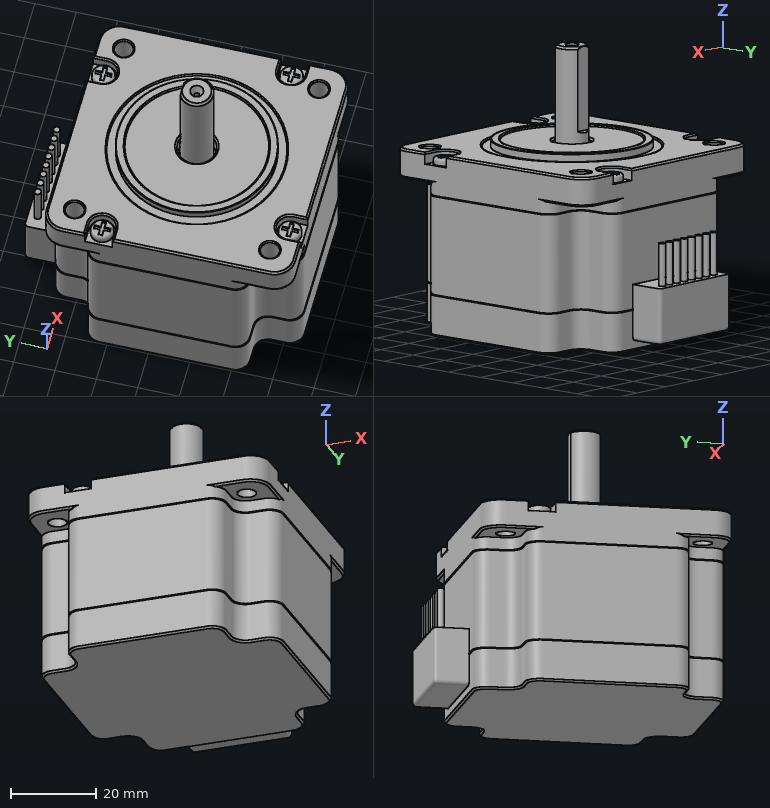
import cadquery as cq
import math


width = 60.0
half_width = width / 2
flange_top = 43.5
flange_thickness = 7.0
flange_corner_radius = 5.0
edge_chamfer = 0.5
chamfer_angle = 45
notch_size = 10.5
notch_radius = 3.5
joint_heights = (9.85, 33.5)
joint_width = 0.2
joint_depth = 0.1

mount_hole_offset = 23.55
mount_hole_radius = 2.25
mount_hole_chamfer = 0.35

pilot_radius = 19.05
pilot_height = 1.5
pilot_top = flange_top + pilot_height
pilot_chamfer = 0.15
flange_recess_radius = 21.45
pilot_recess_radius = 17.2
recess_depth = 0.35
bore_radius = 4.65
bore_chamfer = 0.5
bore_depth = 4.0

shaft_radius = 4.0
shaft_top = 67.5
shaft_chamfer = 0.55
flat_distance = 3.5
flat_bottom = 47.3
flat_runout = shaft_radius - flat_distance
center_hole_radius = 1.6
center_drill_radius = 0.6
center_cone_half_angle = 30
center_drill_length = 1.4
drill_point_half_angle = 59

screw_inset = 3.4
screw_offset = -16.2
pocket_radius = 3.3
pocket_depth = 2.75
pocket_chamfer = 0.4
screw_head_radius = 2.75
screw_head_height = 1.8
screw_head_round = 0.75
cross_length = 3.85
cross_width = 0.9
cross_depth = 0.5

connector_width = 25.1
connector_reach = 8.5
connector_bottom = 2.4
connector_top = 15.9
connector_round = 0.95
pin_count = 8
pin_pitch = 2.6
pin_radius = 0.8
pin_inset = 2.4
pin_top = 26.0


def cone_cut(radius, depth, top):
    """Frustum with chamfer-angle sides that narrows downwards from the height `top`."""
    return cq.Workplane("XY").workplane(offset=top).circle(radius).extrude(-depth, taper=chamfer_angle)


def disc(radius, bottom, top):
    return cq.Workplane("XY").workplane(offset=bottom).circle(radius).extrude(top - bottom)


def body_prism(bottom, top, inset=0):
    """Square prism with a rounded notch in each corner, its walls moved inwards by `inset`."""
    side = width - 2 * inset
    base = cq.Workplane("XY").workplane(offset=bottom)
    notches = (
        base.rect(side - notch_size, side - notch_size, forConstruction=True)
        .vertices()
        .rect(notch_size, notch_size)
        .extrude(top - bottom)
    )
    return base.rect(side, side).extrude(top - bottom).cut(notches).edges("|Z").fillet(notch_radius)


def joint_groove(height):
    """Thin ring that marks the joint between two housing sections."""
    bottom = height - joint_width / 2
    top = height + joint_width / 2
    return body_prism(bottom, top).cut(body_prism(bottom, top, joint_depth))


def make_housing():
    body = body_prism(0, flange_top - edge_chamfer).faces("<Z").chamfer(edge_chamfer)
    flange = (
        cq.Workplane("XY")
        .workplane(offset=flange_top - flange_thickness)
        .rect(width, width)
        .extrude(flange_thickness)
        .edges("|Z")
        .fillet(flange_corner_radius)
        .faces("<Z or >Z")
        .chamfer(edge_chamfer)
    )
    return body.union(flange)


def mounting_holes():
    hole = disc(mount_hole_radius, 0, flange_top).union(
        cone_cut(mount_hole_radius + mount_hole_chamfer, mount_hole_chamfer, flange_top)
    )
    holes = cq.Workplane("XY")
    for x in (-mount_hole_offset, mount_hole_offset):
        for y in (-mount_hole_offset, mount_hole_offset):
            holes = holes.add(hole.translate((x, y, 0)))
    return holes.combine()


def add_pilot(motor):
    motor = motor.cut(cone_cut(flange_recess_radius, recess_depth, flange_top))
    pilot = disc(pilot_radius, flange_top - recess_depth, pilot_top).faces(">Z").chamfer(pilot_chamfer)
    motor = motor.union(pilot)
    pilot_floor = pilot_top - recess_depth
    return (
        motor.cut(cone_cut(pilot_recess_radius, recess_depth, pilot_top))
        .cut(disc(bore_radius, pilot_floor - bore_depth, pilot_floor))
        .cut(cone_cut(bore_radius + bore_chamfer, bore_chamfer, pilot_floor))
    )


def make_shaft():
    bottom = pilot_top - recess_depth - bore_depth
    shaft = disc(shaft_radius, bottom, shaft_top).faces(">Z").chamfer(shaft_chamfer)
    flat_cut = (
        cq.Workplane("YZ")
        .moveTo(flat_distance, shaft_top)
        .lineTo(flat_distance, flat_bottom)
        .lineTo(shaft_radius, flat_bottom - flat_runout)
        .lineTo(shaft_radius, shaft_top)
        .close()
        .extrude(shaft_radius, both=True)
    )
    cone_depth = (center_hole_radius - center_drill_radius) / math.tan(math.radians(center_cone_half_angle))
    point_depth = center_drill_radius / math.tan(math.radians(drill_point_half_angle))
    drill_bottom = shaft_top - cone_depth - center_drill_length
    center_hole = (
        cq.Workplane("XZ")
        .moveTo(0, shaft_top)
        .lineTo(center_hole_radius, shaft_top)
        .lineTo(center_drill_radius, shaft_top - cone_depth)
        .lineTo(center_drill_radius, drill_bottom)
        .lineTo(0, drill_bottom - point_depth)
        .close()
        .revolve()
    )
    return shaft.cut(flat_cut).cut(center_hole)


def pocket_outline(radius):
    """Screw pocket outline at the flange top: round inside, open through the +X side."""
    center = half_width - screw_inset
    outside = half_width + 2 * screw_inset
    return (
        cq.Workplane("XY")
        .workplane(offset=flange_top)
        .moveTo(outside, screw_offset + radius)
        .lineTo(center, screw_offset + radius)
        .threePointArc((center - radius, screw_offset), (center, screw_offset - radius))
        .lineTo(outside, screw_offset - radius)
        .close()
    )


def screw_pocket():
    rim = pocket_outline(pocket_radius + pocket_chamfer).extrude(-pocket_chamfer, taper=chamfer_angle)
    return pocket_outline(pocket_radius).extrude(-pocket_depth).union(rim)


def screw_head():
    floor = flange_top - pocket_depth
    top = floor + screw_head_height
    head = disc(screw_head_radius, floor, top).faces(">Z").edges().fillet(screw_head_round)
    for length, breadth in ((cross_length, cross_width), (cross_width, cross_length)):
        head = head.cut(cq.Workplane("XY").workplane(offset=top).rect(length, breadth).extrude(-cross_depth))
    return head.translate((half_width - screw_inset, screw_offset, 0))


def add_screws(motor):
    pocket = screw_pocket()
    head = screw_head()
    for angle in (0, 90, 180, 270):
        motor = motor.cut(pocket.rotate((0, 0, 0), (0, 0, 1), angle))
        motor = motor.union(head.rotate((0, 0, 0), (0, 0, 1), angle))
    return motor


def make_connector():
    outer_y = half_width + connector_reach
    block = (
        cq.Workplane("XY")
        .box(connector_width, connector_reach, connector_top - connector_bottom, centered=(True, False, False))
        .translate((0, half_width, connector_bottom))
        .edges("|Z and >Y")
        .fillet(connector_round)
        .faces("<Z")
        .edges("not <Y")
        .fillet(connector_round)
    )
    pins = (
        cq.Workplane("XY")
        .workplane(offset=connector_top)
        .center(0, outer_y - pin_inset)
        .rarray(pin_pitch, 0.7, pin_count, 1)
        .circle(pin_radius)
        .extrude(pin_top - connector_top)
    )
    return block.union(pins)


motor = make_housing()
for joint_height in joint_heights:
    motor = motor.cut(joint_groove(joint_height))
motor = motor.cut(mounting_holes())
motor = add_pilot(motor)
motor = motor.union(make_shaft())
motor = add_screws(motor)
result = motor.union(make_connector())